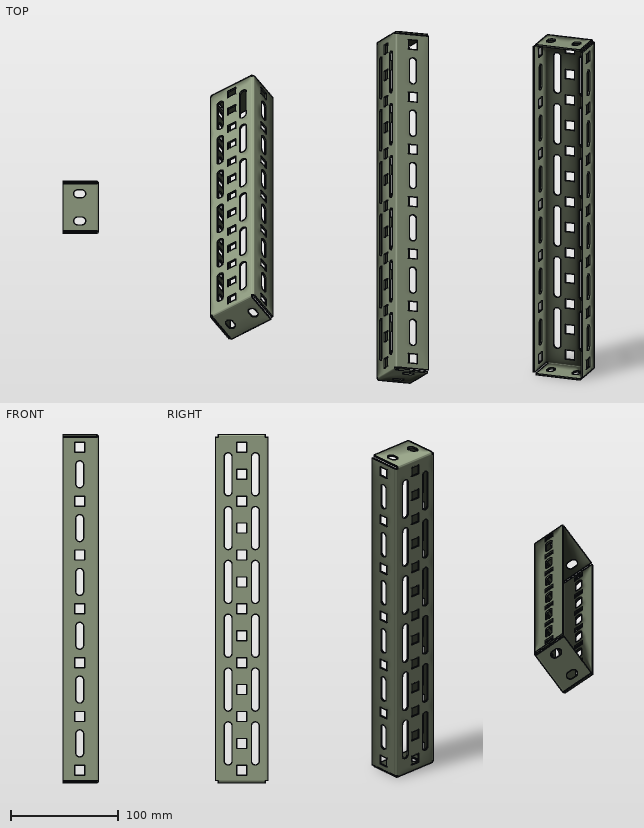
import cadquery as cq

depth = 33.0
width = 49.0
height = 324.0

sheet = 1.5
bend_outer = 2.5
bend_inner = bend_outer - sheet

flange_height = height - 2 * bend_outer
cap_width = width - 2 * bend_outer

end_margin = 12.0
pitch_count = 6
pitch = (height - 2 * end_margin) / pitch_count
square_side = 9.0
slot_width = 7.0
flange_slot_length = 25.0
web_slot_length = 40.0
cap_slot_length = 11.0
slot_row_offset = 12.5
edge_to_hole = 15.5

web_face = depth / 2
hole_line = edge_to_hole - depth / 2


def bent_sheet(plane, span, length):
    """U-shaped sheet: base on +X, legs toward -X, `span` across the legs, extruded both ways."""
    outer = (
        cq.Workplane(plane)
        .rect(depth, span)
        .extrude(length / 2, both=True)
    )
    corner_axis = "|Z" if plane == "XY" else "|Y"
    outer = outer.edges(corner_axis).edges(">X").fillet(bend_outer)
    inner = (
        cq.Workplane(plane)
        .center(-sheet, 0)
        .rect(depth, span - 2 * sheet)
        .extrude(length / 2, both=True)
    )
    inner = inner.edges(corner_axis).edges(">X").fillet(bend_inner)
    return outer.cut(inner)


def row(count):
    """Heights spaced one pitch apart along the channel, centred on mid-height."""
    return [(i - (count - 1) / 2) * pitch for i in range(count)]


def flange_cutters():
    """Squares alternating with slots, passing through both flanges."""
    squares = (
        cq.Workplane("XZ")
        .pushPoints([(hole_line, z) for z in row(pitch_count + 1)])
        .rect(square_side, square_side)
        .extrude(width, both=True)
    )
    slots = (
        cq.Workplane("XZ")
        .pushPoints([(hole_line, z) for z in row(pitch_count)])
        .slot2D(flange_slot_length, slot_width, 90)
        .extrude(width, both=True)
    )
    return squares.union(slots)


def web_cutters():
    """Squares every half pitch on the centre line, with a row of long slots on each side."""
    web = cq.Workplane("YZ", origin=(web_face, 0, 0))
    square_points = [(0, z) for z in row(pitch_count + 1) + row(pitch_count)]
    slot_points = [(y, z) for y in (-slot_row_offset, slot_row_offset) for z in row(pitch_count)]
    squares = web.pushPoints(square_points).rect(square_side, square_side).extrude(-2 * sheet)
    slots = web.pushPoints(slot_points).slot2D(web_slot_length, slot_width, 90).extrude(-2 * sheet)
    return squares.union(slots)


def cap_cutters():
    """Two short slots passing through both end caps."""
    return (
        cq.Workplane("XY")
        .pushPoints([(hole_line, y) for y in (-slot_row_offset, slot_row_offset)])
        .slot2D(cap_slot_length, slot_width)
        .extrude(height, both=True)
    )


channel = bent_sheet("XY", width, flange_height)
end_caps = bent_sheet("XZ", height, cap_width)

result = channel.union(end_caps)
result = result.cut(flange_cutters()).cut(web_cutters()).cut(cap_cutters())